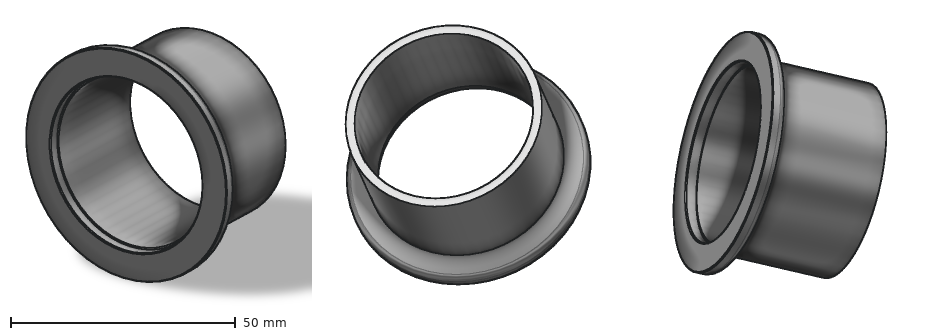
import cadquery as cq
import math

flange_radius = 27.5
length = 30.0
tube_radius = 22.3
bore_radius = 20.25

flange_height = 4.4
back_angle = math.radians(15)
shoulder_radius = 1.5
front_chamfer = 0.2

seat_radius = 20.7
seat_depth = 2.6
seat_chamfer = 0.3

front_y = -length / 2
back_y = length / 2
slope_end_y = front_y + flange_height

slope_run = math.tan(back_angle)
shoulder_center_x = flange_radius - shoulder_radius
shoulder_x = shoulder_center_x + shoulder_radius * math.sin(back_angle)
shoulder_y = slope_end_y - (shoulder_x - tube_radius) * slope_run
shoulder_center_y = shoulder_y - shoulder_radius * math.cos(back_angle)
mid_angle = (math.pi / 2 - back_angle) / 2
shoulder_mid = (
    shoulder_center_x + shoulder_radius * math.cos(mid_angle),
    shoulder_center_y + shoulder_radius * math.sin(mid_angle),
)

section = (
    cq.Workplane("XY")
    .moveTo(seat_radius + seat_chamfer, front_y)
    .lineTo(flange_radius - front_chamfer, front_y)
    .lineTo(flange_radius, front_y + front_chamfer)
    .lineTo(flange_radius, shoulder_center_y)
    .threePointArc(shoulder_mid, (shoulder_x, shoulder_y))
    .lineTo(tube_radius, slope_end_y)
    .lineTo(tube_radius, back_y)
    .lineTo(bore_radius, back_y)
    .lineTo(bore_radius, front_y + seat_depth)
    .lineTo(seat_radius, front_y + seat_depth)
    .lineTo(seat_radius, front_y + seat_chamfer)
    .close()
)

result = section.revolve(360, (0, 0, 0), (0, 1, 0))